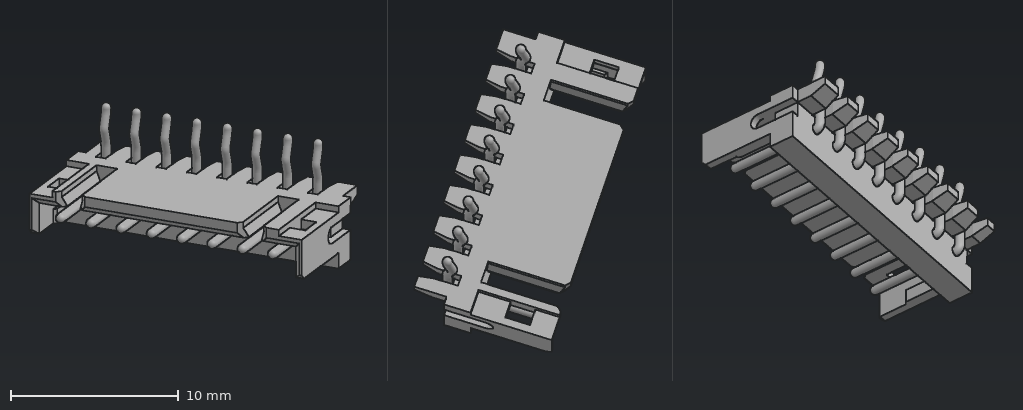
import cadquery as cq


width = 18.0
depth = 8.8
height = 4.0
half_width = width / 2
roof_thickness = 1.0
roof_underside = height - roof_thickness
wall_thickness = 0.52
skirt_bottom = 1.0
base_front = 5.1
base_rear = 6.77
skirt_chamfer = 0.3
lead_in_offset = 0.36
lead_in_depth = 0.29

tongue_side_inset = 0.5
tongue_tip_thickness = 0.6
tongue_slope_length = 1.05
groove_front = 6.34
groove_flare_length = 0.97
groove_width = 0.65
groove_mouth_width = 0.95

slot_inner = 5.31
slot_outer = 6.68
slot_lip = 0.25
slot_straight_depth = 0.38
slot_corner_chamfer = 0.52

shoulder_width = 1.51
shoulder_depth = 0.4
window_inset = 0.5
window_front = 1.53
window_rear = 3.08
side_slot_front = 3.67
side_slot_height = 1.06
side_slot_bottom = roof_underside - side_slot_height
rib_thickness = 0.18
rib_front = 2.21
rib_chamfer = 0.16

pin_count = 8
pin_row_length = 14.0
pin_row_centre = -0.3
pin_pitch = pin_row_length / (pin_count - 1)
pin_radius = 0.3
pin_axis_height = 2.03
pin_front = 0.5
pin_leg_y = 7.1
pin_top = 7.25
pin_elbow_radius = 0.41
kink_offset = 0.3
kink_middle = height + 1.7
kink_half_height = 0.99
kink_bend_radius = 1.26
knee_bend_radius = 0.36

pin_positions = [pin_row_centre + (i - (pin_count - 1) / 2) * pin_pitch for i in range(pin_count)]


def box(x0, x1, y0, y1, z0, z1):
    """Block between two opposite corners."""
    return cq.Workplane("XY").box(x1 - x0, y1 - y0, z1 - z0, centered=False).translate((x0, y0, z0))


def extrude_along_x(points, x0, x1):
    """Prism with a (Y, Z) outline running from x0 to x1."""
    return cq.Workplane("YZ").polyline(points).close().extrude(x1 - x0).translate((x0, 0, 0))


def extrude_along_z(points, z0, z1):
    """Prism with an (X, Y) outline running from z0 to z1."""
    return cq.Workplane("XY").polyline(points).close().extrude(z1 - z0).translate((0, 0, z0))


def both_sides(shape):
    """The shape together with its mirror image across X = 0."""
    return shape.union(shape.mirror("YZ"))


def make_shell():
    """Base block with the roof and the two skirts reaching forward."""
    side_outline = [
        (0, height),
        (base_rear, height),
        (base_rear, 0),
        (base_front, 0),
        (base_front, skirt_bottom),
        (skirt_chamfer, skirt_bottom),
        (0, skirt_bottom + skirt_chamfer),
    ]
    shell = extrude_along_x(side_outline, -half_width, half_width)
    inner = half_width - wall_thickness
    return shell.cut(box(-inner, inner, 0, base_front, 0, roof_underside))


def make_lead_in():
    """Tapered opening that widens the cavity towards the mating side."""
    inner = half_width - wall_thickness
    outer = inner + lead_in_offset
    front = cq.Workplane("XZ").rect(2 * outer, 2 * (roof_underside + lead_in_offset))
    return front.workplane(offset=-lead_in_depth).rect(2 * inner, 2 * roof_underside).loft(ruled=True)


def make_tongues():
    """Row of solder tongues as one continuous ledge, before the pin grooves are cut."""
    side_outline = [
        (base_rear, height),
        (depth, height),
        (depth, height - tongue_tip_thickness),
        (depth - tongue_slope_length, roof_underside),
        (base_rear, roof_underside),
    ]
    half_span = half_width - tongue_side_inset
    return extrude_along_x(side_outline, -half_span, half_span)


def make_groove(x):
    """Flared groove for the pin at x."""
    half = groove_width / 2
    half_mouth = groove_mouth_width / 2
    flare_start = depth - groove_flare_length
    outline = [
        (x - half, groove_front),
        (x + half, groove_front),
        (x + half, flare_start),
        (x + half_mouth, depth),
        (x - half_mouth, depth),
        (x - half, flare_start),
    ]
    return extrude_along_z(outline, roof_underside, height)


def make_polarising_slot(side):
    """Roof slot with tapered lower edges and chamfered front corners; side is -1 or 1."""
    def across(distance):
        return pin_row_centre + side * distance

    throat_inner = slot_inner + slot_lip
    throat_outer = slot_outer - slot_lip
    taper_top = height - slot_straight_depth
    section = [
        (across(slot_inner), height),
        (across(slot_inner), taper_top),
        (across(throat_inner), roof_underside),
        (across(throat_outer), roof_underside),
        (across(slot_outer), taper_top),
        (across(slot_outer), height),
    ]
    slot = cq.Workplane("XZ").polyline(section).close().extrude(-base_front)
    mouth = [
        (across(throat_inner - slot_corner_chamfer), 0),
        (across(throat_outer + slot_corner_chamfer), 0),
        (across(throat_outer), slot_corner_chamfer),
        (across(throat_inner), slot_corner_chamfer),
    ]
    return slot.union(extrude_along_z(mouth, roof_underside, height))


def make_side_cuts():
    """Roof shoulder, window and round-ended side slot of the +X side."""
    shoulder_inner = half_width - shoulder_width
    shoulder = box(shoulder_inner, half_width, 0, base_front, height - shoulder_depth, height)
    window = box(
        shoulder_inner, half_width - window_inset, window_front, window_rear, roof_underside, height
    )
    slot_inner_face = half_width - wall_thickness
    end_radius = side_slot_height / 2
    end_centre = side_slot_front + end_radius
    slot = box(slot_inner_face, half_width, end_centre, base_rear, side_slot_bottom, roof_underside)
    round_end = cq.Workplane("YZ").center(end_centre, side_slot_bottom + end_radius).circle(end_radius)
    slot = slot.union(round_end.extrude(wall_thickness).translate((slot_inner_face, 0, 0)))
    return shoulder.union(window).union(slot)


def make_rib():
    """Rib inside the +X skirt, below the side slot, with a bevelled front end."""
    skirt_face = half_width - wall_thickness
    rib_face = skirt_face - rib_thickness
    outline = [
        (skirt_face, base_front),
        (rib_face, base_front),
        (rib_face, rib_front + rib_chamfer),
        (skirt_face, rib_front),
    ]
    return extrude_along_z(outline, skirt_bottom, side_slot_bottom)


def make_pin():
    """Round pin at X = 0: straight contact, elbow, and a kinked solder leg, with domed ends."""
    knee_y = pin_leg_y - kink_offset
    tip_start = pin_front + pin_radius
    tip_end = pin_top - pin_radius
    corners = [
        cq.Vector(0, tip_start, pin_axis_height),
        cq.Vector(0, pin_leg_y, pin_axis_height),
        cq.Vector(0, pin_leg_y, kink_middle - kink_half_height),
        cq.Vector(0, knee_y, kink_middle),
        cq.Vector(0, pin_leg_y, kink_middle + kink_half_height),
        cq.Vector(0, pin_leg_y, tip_end),
    ]
    bend_radii = [pin_elbow_radius, kink_bend_radius, knee_bend_radius, kink_bend_radius]
    path = cq.Wire.makePolygon(corners)
    for corner, radius in zip(corners[1:-1], bend_radii):
        vertex = min(path.Vertices(), key=lambda v: (v.Center() - corner).Length)
        path = path.fillet2D(radius, [vertex])
    start = cq.Workplane("XZ", origin=corners[0].toTuple())
    pin = start.circle(pin_radius).sweep(cq.Workplane(path))
    for end in (corners[0], corners[-1]):
        pin = pin.union(cq.Workplane("XY").sphere(pin_radius).translate(end))
    return pin


housing = make_shell().cut(make_lead_in()).union(make_tongues())
for position in pin_positions:
    housing = housing.cut(make_groove(position))
for slot_side in (-1, 1):
    housing = housing.cut(make_polarising_slot(slot_side))
housing = housing.cut(both_sides(make_side_cuts())).union(both_sides(make_rib()))

pin_shape = make_pin()
result = housing
for position in pin_positions:
    result = result.union(pin_shape.translate((position, 0, 0)))